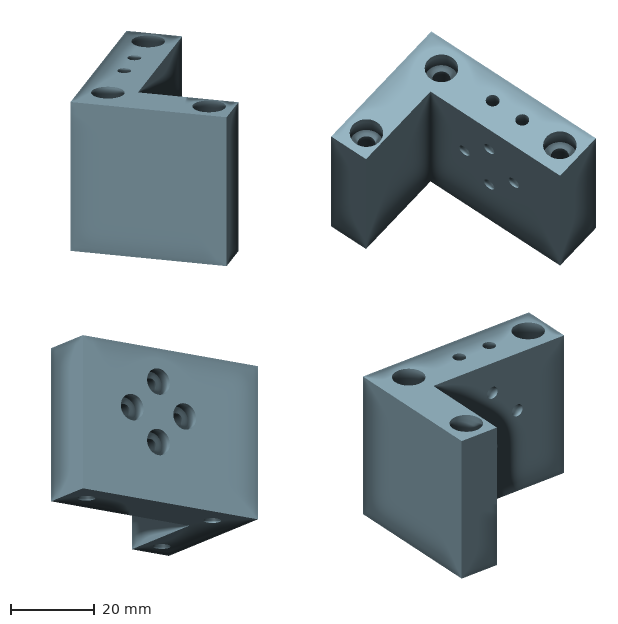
import cadquery as cq
import math

length_x = 38.7
length_y = 50.0
height = 38.0
long_leg_width = 13.8
short_leg_width = 10.6

mount_diameter = 4.3
mount_bore_diameter = 8.0
mount_bore_depth = 4.5
long_leg_mount_x = long_leg_width / 2
front_mount_y = 8.5
mount_pitch_y = 36.0
short_leg_mount_x = length_x - 6.0
short_leg_mount_y = 6.0
mount_points = [
    (long_leg_mount_x, front_mount_y),
    (long_leg_mount_x, front_mount_y + mount_pitch_y),
    (short_leg_mount_x, short_leg_mount_y),
]

ring_y = 28.4
ring_z = 22.3
ring_radius = 7.5
ring_hole_diameter = 3.2
ring_bore_diameter = 6.5
ring_bore_depth = 3.5
ring_hole_count = 4

drill_diameter = 3.3
drill_depth = 6.0
drill_point_angle = 118.0
drill_x = 6.7
drill_pitch_y = 9.0


def make_block():
    """Two legs meeting at the origin corner."""
    return (
        cq.Workplane("XY")
        .moveTo(0, 0)
        .lineTo(length_x, 0)
        .lineTo(length_x, short_leg_width)
        .lineTo(long_leg_width, short_leg_width)
        .lineTo(long_leg_width, length_y)
        .lineTo(0, length_y)
        .close()
        .extrude(height)
    )


def cut_mounting_holes(body):
    """Through holes counterbored from the top face."""
    return (
        body.faces(">Z")
        .workplane(origin=(0, 0, height))
        .pushPoints(mount_points)
        .cboreHole(mount_diameter, mount_bore_diameter, mount_bore_depth)
    )


def cut_ring_holes(body):
    """Holes along X through the long leg, counterbored from its outer face."""
    ring = cq.Workplane("YZ", origin=(0, ring_y, ring_z)).polarArray(
        ring_radius, 0, 360, ring_hole_count
    )
    holes = ring.circle(ring_hole_diameter / 2).extrude(long_leg_width)
    bores = ring.circle(ring_bore_diameter / 2).extrude(ring_bore_depth)
    return body.cut(holes).cut(bores)


def cut_drilled_holes(body):
    """Blind holes with a conical drill point."""
    drill_radius = drill_diameter / 2
    point_depth = drill_radius / math.tan(math.radians(drill_point_angle / 2))
    drill = (
        cq.Workplane("XZ")
        .lineTo(drill_radius, 0)
        .lineTo(drill_radius, -drill_depth)
        .lineTo(0, -drill_depth - point_depth)
        .close()
        .revolve(360, (0, 0, 0), (0, 1, 0))
    )
    for side in (-1, 1):
        body = body.cut(drill.translate((drill_x, ring_y + side * drill_pitch_y / 2, height)))
    return body


result = cut_drilled_holes(cut_ring_holes(cut_mounting_holes(make_block())))